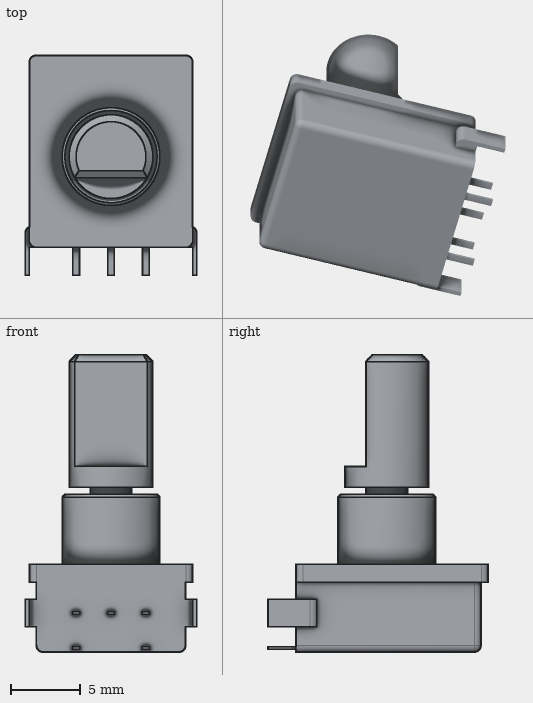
import cadquery as cq

FRONT_Y = -6.5
TERMINAL_REACH = 2.0
TERMINAL_TIP_Y = FRONT_Y - TERMINAL_REACH
EDGE_RADIUS = 0.5

BODY_WIDTH = 10.7
FLANGE_OVERHANG = 0.5
FLANGE_WIDTH = BODY_WIDTH + 2 * FLANGE_OVERHANG
FLANGE_DEPTH = 13.75
BODY_DEPTH = FLANGE_DEPTH - FLANGE_OVERHANG
BODY_HEIGHT = 5.0
FLANGE_THICKNESS = 1.3
FLANGE_TOP_Z = BODY_HEIGHT + FLANGE_THICKNESS

BUSHING_DIAMETER = 7.0
BUSHING_HEIGHT = 5.0
BUSHING_CHAMFER = 0.2
NECK_DIAMETER = 3.0
NECK_HEIGHT = 0.5
SHAFT_DIAMETER = 6.0
SHAFT_LENGTH = 9.5
SHAFT_CHAMFER = 0.5
FLAT_LENGTH = 8.0
FLAT_Y = -1.5
BUSHING_TOP_Z = FLANGE_TOP_Z + BUSHING_HEIGHT
SHAFT_BASE_Z = BUSHING_TOP_Z + NECK_HEIGHT
SHAFT_TOP_Z = SHAFT_BASE_Z + SHAFT_LENGTH

TAB_SPAN = 12.3
TAB_THICKNESS = 0.3
TAB_HEIGHT = 2.0
TAB_WEB_DEPTH = 1.5
TAB_CENTRE_Z = 2.8

PIN_WIDTH = 0.5
PIN_THICKNESS = 0.2
PIN_PITCH = 2.5
LOWER_PIN_Z = 0.3
UPPER_PIN_Z = LOWER_PIN_Z + PIN_PITCH
PIN_PLACES = [
    (-PIN_PITCH, UPPER_PIN_Z),
    (0, UPPER_PIN_Z),
    (PIN_PITCH, UPPER_PIN_Z),
    (-PIN_PITCH, LOWER_PIN_Z),
    (PIN_PITCH, LOWER_PIN_Z),
]


def block(width, depth, height, base_z):
    """Box centred in X, with its front on the front face and its underside at base_z."""
    return (
        cq.Workplane("XY", origin=(0, FRONT_Y, base_z))
        .box(width, depth, height, centered=(True, False, False))
    )


def cylinder(diameter, height, base_z):
    """Upright cylinder on the shaft axis."""
    return cq.Workplane("XY").workplane(offset=base_z).circle(diameter / 2).extrude(height)


def make_body():
    """Body with rounded rear corners and rounded bottom edges; the front edge stays sharp."""
    body = block(BODY_WIDTH, BODY_DEPTH, BODY_HEIGHT, 0)
    rear_corners = body.edges("|Z and >Y")
    bottom_sides = body.edges("|Y and <Z")
    bottom_rear = body.edges("|X and >Y and <Z")
    rounded_edges = rear_corners.add(bottom_sides).add(bottom_rear)
    return rounded_edges.fillet(EDGE_RADIUS)


def make_flange():
    flange = block(FLANGE_WIDTH, FLANGE_DEPTH, FLANGE_THICKNESS, BODY_HEIGHT)
    return flange.edges("|Z").fillet(EDGE_RADIUS)


def make_bushing():
    bushing = cylinder(BUSHING_DIAMETER, BUSHING_HEIGHT, FLANGE_TOP_Z)
    return bushing.faces(">Z").chamfer(BUSHING_CHAMFER)


def make_shaft():
    """D-shaft: the chamfer at the tip runs around the round side and along the flat."""
    shaft = cylinder(SHAFT_DIAMETER, SHAFT_LENGTH, SHAFT_BASE_Z)
    flat_depth = SHAFT_DIAMETER / 2 + FLAT_Y
    cut = (
        cq.Workplane("XY", origin=(0, -SHAFT_DIAMETER / 2, SHAFT_TOP_Z - FLAT_LENGTH))
        .box(SHAFT_DIAMETER, flat_depth, FLAT_LENGTH, centered=(True, False, False))
    )
    return shaft.cut(cut).faces(">Z").chamfer(SHAFT_CHAMFER)


def make_tab():
    """Tab on the +X side: a web against the body and a thin blade reaching forward."""
    outer_x = TAB_SPAN / 2
    blade_inner_x = outer_x - TAB_THICKNESS
    body_side_x = BODY_WIDTH / 2
    web_rear_y = FRONT_Y + TAB_WEB_DEPTH
    return (
        cq.Workplane("XY", origin=(0, 0, TAB_CENTRE_Z))
        .moveTo(body_side_x, FRONT_Y)
        .lineTo(blade_inner_x, FRONT_Y)
        .lineTo(blade_inner_x, TERMINAL_TIP_Y)
        .lineTo(outer_x, TERMINAL_TIP_Y)
        .lineTo(outer_x, web_rear_y - EDGE_RADIUS)
        .radiusArc((outer_x - EDGE_RADIUS, web_rear_y), -EDGE_RADIUS)
        .lineTo(body_side_x, web_rear_y)
        .close()
        .extrude(TAB_HEIGHT / 2, both=True)
    )


def make_pins():
    """Rectangular pins standing out of the front face."""
    return (
        cq.Workplane("XZ", origin=(0, FRONT_Y, 0))
        .pushPoints(PIN_PLACES)
        .rect(PIN_WIDTH, PIN_THICKNESS)
        .extrude(TERMINAL_REACH)
    )


tab = make_tab()
neck = cylinder(NECK_DIAMETER, NECK_HEIGHT, BUSHING_TOP_Z)

result = (
    make_body()
    .union(make_flange())
    .union(make_bushing())
    .union(neck)
    .union(make_shaft())
    .union(tab)
    .union(tab.mirror("YZ"))
    .union(make_pins())
)